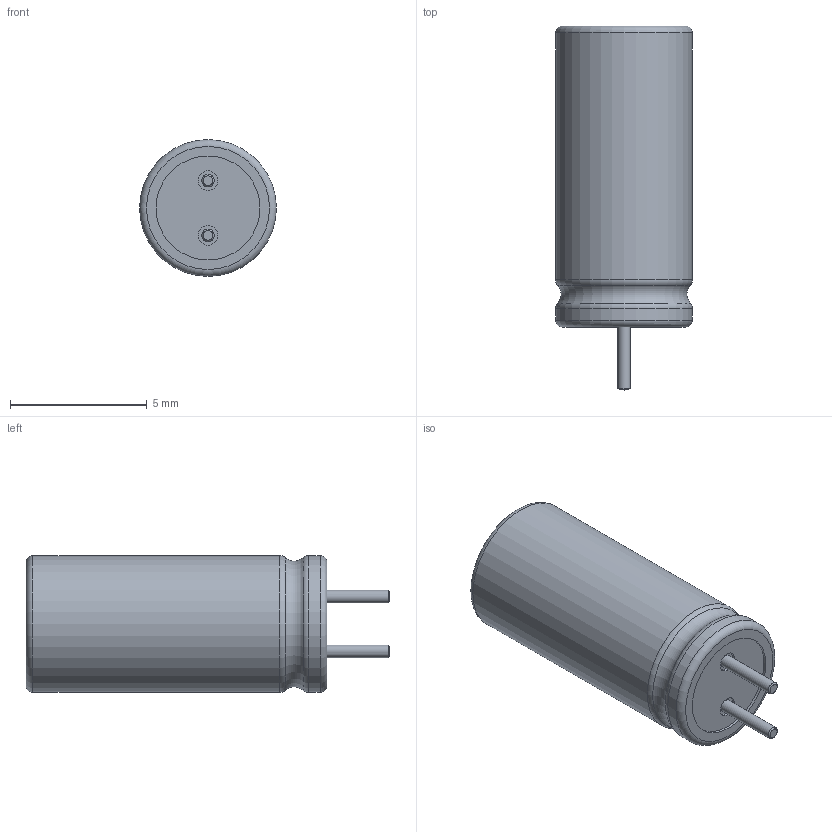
import cadquery as cq
import math


can_diameter = 5.0
can_length = 11.0
end_fillet = 0.25
can_radius = can_diameter / 2

groove_position = 1.2
groove_depth = 0.2
groove_radius = 0.5
groove_blend_radius = 0.3

seal_diameter = 3.8
seal_depth = 0.1

lead_spacing = 2.0
lead_diameter = 0.46
lead_length = 2.3
lead_chamfer = 0.05
lead_pocket_diameter = 0.72
lead_pocket_depth = 0.1
lead_pocket_floor = seal_depth + lead_pocket_depth


def cylinder_along_y(diameter, y_start, y_end, z=0.0):
    """Solid cylinder parallel to Y between two Y positions, at height z."""
    axis_start = cq.Vector(0, y_start, z)
    solid = cq.Solid.makeCylinder(diameter / 2, y_end - y_start, axis_start, cq.Vector(0, 1, 0))
    return cq.Workplane(obj=solid)


def make_can():
    """Revolve the can outline, with its groove and rounded ends, about Y."""
    groove_center_r = can_radius - groove_depth + groove_radius
    blend_center_r = can_radius - groove_blend_radius
    center_distance = groove_radius + groove_blend_radius
    tangent_angle = math.acos((groove_center_r - blend_center_r) / center_distance)
    half_width = center_distance * math.sin(tangent_angle)
    tangent_offset = groove_radius * math.sin(tangent_angle)
    tangent_r = groove_center_r - groove_radius * math.cos(tangent_angle)

    blend_mid_r = blend_center_r + groove_blend_radius * math.cos(tangent_angle / 2)
    blend_mid_offset = half_width - groove_blend_radius * math.sin(tangent_angle / 2)

    outline = (
        cq.Workplane("XY")
        .lineTo(can_radius, 0)
        .lineTo(can_radius, groove_position - half_width)
        .threePointArc(
            (blend_mid_r, groove_position - blend_mid_offset),
            (tangent_r, groove_position - tangent_offset),
        )
        .threePointArc(
            (can_radius - groove_depth, groove_position),
            (tangent_r, groove_position + tangent_offset),
        )
        .threePointArc(
            (blend_mid_r, groove_position + blend_mid_offset),
            (can_radius, groove_position + half_width),
        )
        .lineTo(can_radius, can_length)
        .lineTo(0, can_length)
        .close()
    )
    can = outline.revolve(360, (0, 0, 0), (0, 1, 0))
    return can.faces("<Y or >Y").edges().fillet(end_fillet)


def make_lead(z):
    """Round lead with a chamfered tip, rooted at the bottom of its pocket."""
    lead = cylinder_along_y(lead_diameter, -lead_length, lead_pocket_floor, z)
    return lead.faces("<Y").chamfer(lead_chamfer)


def make_lead_pocket(z):
    """Clearance pocket sunk into the seal around one lead."""
    return cylinder_along_y(lead_pocket_diameter, seal_depth, lead_pocket_floor, z)


seal_recess = cylinder_along_y(seal_diameter, 0, seal_depth)
result = make_can().cut(seal_recess)
for lead_z in (-lead_spacing / 2, lead_spacing / 2):
    result = result.cut(make_lead_pocket(lead_z)).union(make_lead(lead_z))